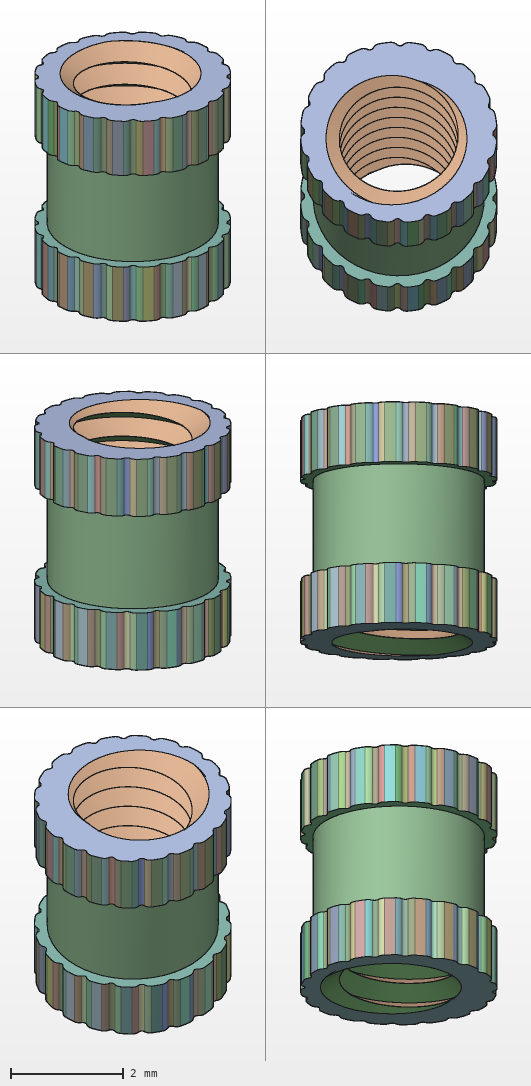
import cadquery as cq
import math

height = 4.0
body_radius = 3.05 / 2
collar_height = 1.085

collar_radius = 3.5 / 2
groove_count = 20
groove_edge_radius = 0.3 / 2
groove_radius = groove_edge_radius / 2

crest_radius = 1.055
thread_pitch = 0.9 / 2
thread_angle = 60
crest_flat = 0.005
groove_width = thread_pitch - crest_flat
groove_depth = groove_width / 2 / math.tan(math.radians(thread_angle / 2))
thread_overlap = 0.02


def polar(radius, angle):
    """XY point at a radius and an angle in radians from +X."""
    return (radius * math.cos(angle), radius * math.sin(angle))


def point_between(start, end, distance):
    """Point at a distance from start on the line towards end."""
    ratio = distance / math.dist(start, end)
    return (start[0] + ratio * (end[0] - start[0]), start[1] + ratio * (end[1] - start[1]))


def make_collar(bottom_z):
    """Knurled disc made of concave grooves, convex edges and outer lands."""
    edge_centre_radius = collar_radius - groove_edge_radius
    edge_angle = math.acos(
        (edge_centre_radius**2 + collar_radius**2 - (groove_radius + groove_edge_radius) ** 2)
        / (2 * edge_centre_radius * collar_radius)
    )
    step = 2 * math.pi / groove_count

    def groove_end(angle, side):
        """Point where a groove meets its rounded edge on one side (-1 or 1)."""
        groove_centre = polar(collar_radius, angle)
        edge_centre = polar(edge_centre_radius, angle + side * edge_angle)
        return point_between(groove_centre, edge_centre, groove_radius)

    def edge_middle(angle, side):
        """Point halfway along the rounded edge on one side of a groove."""
        edge_centre = polar(edge_centre_radius, angle + side * edge_angle)
        land_end = polar(collar_radius, angle + side * edge_angle)
        inner_end = groove_end(angle, side)
        chord_middle = ((land_end[0] + inner_end[0]) / 2, (land_end[1] + inner_end[1]) / 2)
        return point_between(edge_centre, chord_middle, groove_edge_radius)

    outline = cq.Workplane("XY", origin=(0, 0, bottom_z)).moveTo(*groove_end(0, -1))
    for index in range(groove_count):
        angle = index * step
        next_angle = angle + step
        outline = (
            outline.threePointArc(polar(collar_radius - groove_radius, angle), groove_end(angle, 1))
            .threePointArc(edge_middle(angle, 1), polar(collar_radius, angle + edge_angle))
            .threePointArc(
                polar(collar_radius, angle + step / 2),
                polar(collar_radius, next_angle - edge_angle),
            )
            .threePointArc(edge_middle(next_angle, -1), groove_end(next_angle, -1))
        )
    return outline.close().extrude(collar_height)


def make_thread_cutter():
    """V groove swept along a helix that runs past both end faces."""
    turns = math.ceil(height / thread_pitch) + 2
    start_z = height + 1.5 * thread_pitch - turns * thread_pitch
    half_width = groove_width / 2
    helix = cq.Wire.makeHelix(thread_pitch, turns * thread_pitch, crest_radius)
    profile = (
        cq.Workplane("XZ")
        .moveTo(crest_radius - thread_overlap, -half_width)
        .lineTo(crest_radius, -half_width)
        .lineTo(crest_radius + groove_depth, 0)
        .lineTo(crest_radius, half_width)
        .lineTo(crest_radius - thread_overlap, half_width)
        .close()
    )
    return profile.sweep(cq.Workplane(helix), isFrenet=True).translate((0, 0, start_z))


body = cq.Workplane("XY").circle(body_radius).extrude(height)
for collar_z in (0, height - collar_height):
    body = body.union(make_collar(collar_z))

bore = cq.Workplane("XY").circle(crest_radius).extrude(height)
result = body.cut(bore).cut(make_thread_cutter())